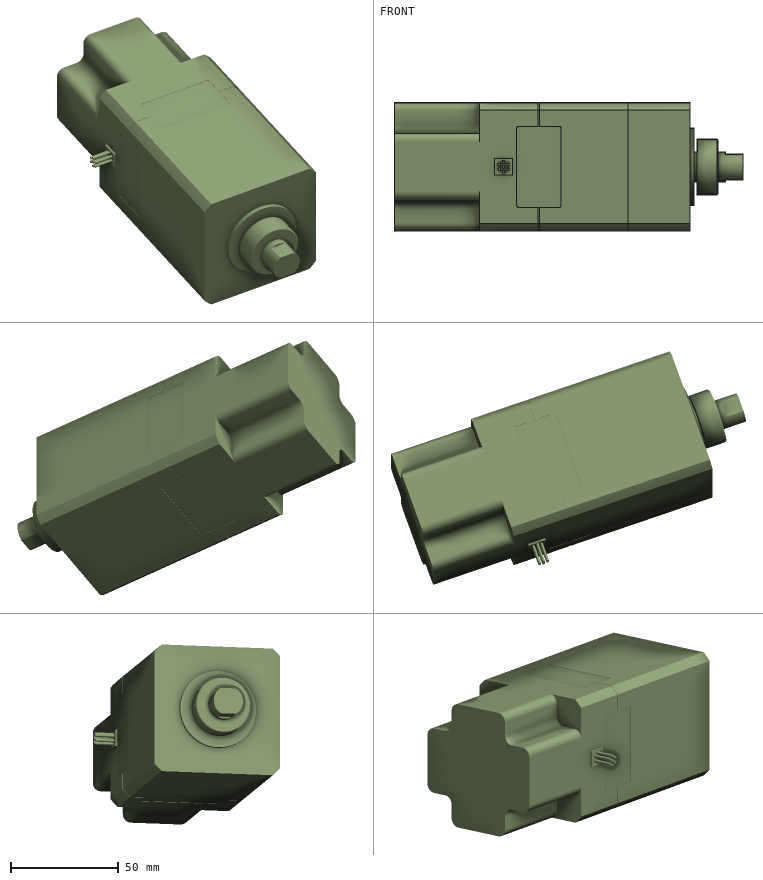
import cadquery as cq
import math

BODY_WIDTH = 60.0
CORNER_CIRCLE_DIAMETER = 80.0

NOTCHED_END = 39.6
MOTOR_END = 108.9
GEAR_CASE_END = 133.7
FLANGE_END = 137.8

NOTCH_SIZE = 14.3
NOTCH_RADIUS = 3.9

BAND_CENTRE = 67.3
BAND_WIDTH = 0.8
BAND_DEPTH = 0.2
PANEL_LENGTH = 20.6
PANEL_WIDTH = 37.7
PANEL_CORNER_RADIUS = 0.8

OUTLET_CENTRE = 50.9
OUTLET_LENGTH = 8.5
OUTLET_HEIGHT = 7.6
OUTLET_THICKNESS = 1.0
WIRE_REACH = 10.0
WIRE_DIAMETER = 1.3
WIRE_RING_RADIUS = 2.3
RING_WIRES = 6

PILOT_DIAMETER = 36.0
PILOT_LENGTH = 2.0

SHAFT_END = 162.5
SHAFT_DIAMETER = 14.0
FLAT_START = 154.2
ACROSS_FLATS = 12.0
COLLAR_DIAMETER = 26.0
COLLAR_START = 141.0
SHOULDER_LENGTH = 2.0
COLLAR_END = 150.8
COLLAR_CHAMFER = 0.5

HALF_WIDTH = BODY_WIDTH / 2
PILOT_FACE = FLANGE_END + PILOT_LENGTH
SHOULDER_END = COLLAR_START + SHOULDER_LENGTH


def section_plane(x):
    """Plane across the X axis at the given station."""
    return cq.Workplane("YZ", origin=(x, 0, 0))


def cylinder(diameter, start, end):
    return section_plane(start).circle(diameter / 2).extrude(end - start)


def trimmed_square(start, end, inset=0.0):
    """Square bar along X whose long edges are trimmed by a turned diameter."""
    width = BODY_WIDTH - 2 * inset
    bar = section_plane(start).rect(width, width).extrude(end - start)
    return bar.intersect(cylinder(CORNER_CIRCLE_DIAMETER - 2 * inset, start, end))


def notched_section():
    """Cross-shaped rear stretch with rounded inner and outer corners."""
    arm_width = BODY_WIDTH - 2 * NOTCH_SIZE
    upright = section_plane(0).rect(arm_width, BODY_WIDTH).extrude(NOTCHED_END)
    crossbar = section_plane(0).rect(BODY_WIDTH, arm_width).extrude(NOTCHED_END)
    return upright.union(crossbar).edges("|X").fillet(NOTCH_RADIUS)


def band_recess():
    """Material removed for the band: a thin ring and a panel centred on each side."""
    start = BAND_CENTRE - BAND_WIDTH / 2
    end = BAND_CENTRE + BAND_WIDTH / 2
    recess = trimmed_square(start, end).cut(trimmed_square(start, end, BAND_DEPTH))
    panel = (
        cq.Workplane("XY", origin=(BAND_CENTRE, 0, HALF_WIDTH - BAND_DEPTH))
        .rect(PANEL_LENGTH, PANEL_WIDTH)
        .extrude(BAND_DEPTH)
        .edges("|Z")
        .fillet(PANEL_CORNER_RADIUS)
    )
    for side in range(4):
        recess = recess.union(panel.rotate((0, 0, 0), (1, 0, 0), 90 * side))
    return recess


def cable_outlet():
    """Outlet plate with a bundle of wires: one in the middle and a ring around it."""
    side = cq.Workplane("XZ", origin=(OUTLET_CENTRE, -HALF_WIDTH, 0))
    plate = side.rect(OUTLET_LENGTH, OUTLET_HEIGHT).extrude(OUTLET_THICKNESS)
    centres = [(0, 0)]
    for index in range(RING_WIRES):
        angle = math.radians(90 + index * 360 / RING_WIRES)
        centres.append((WIRE_RING_RADIUS * math.cos(angle), WIRE_RING_RADIUS * math.sin(angle)))
    wires = side.pushPoints(centres).circle(WIRE_DIAMETER / 2).extrude(WIRE_REACH)
    return plate.union(wires)


def make_motor():
    motor = notched_section().union(trimmed_square(NOTCHED_END, MOTOR_END))
    return motor.cut(band_recess()).union(cable_outlet())


def output_shaft():
    """Round shaft with two opposite flats near its tip and a collar in two flush steps."""
    shaft = cylinder(SHAFT_DIAMETER, PILOT_FACE, SHAFT_END)
    flat_length = SHAFT_END - FLAT_START
    between_flats = section_plane(FLAT_START).rect(SHAFT_DIAMETER, ACROSS_FLATS).extrude(flat_length)
    flat_waste = cylinder(SHAFT_DIAMETER, FLAT_START, SHAFT_END).cut(between_flats)
    shoulder = cylinder(COLLAR_DIAMETER, COLLAR_START, SHOULDER_END)
    collar = cylinder(COLLAR_DIAMETER, SHOULDER_END, COLLAR_END).faces(">X").chamfer(COLLAR_CHAMFER)
    return shaft.cut(flat_waste).union(shoulder, clean=False).union(collar, clean=False)


def make_gearhead():
    gear_case = trimmed_square(MOTOR_END, GEAR_CASE_END)
    flange = trimmed_square(GEAR_CASE_END, FLANGE_END)
    pilot = cylinder(PILOT_DIAMETER, FLANGE_END, PILOT_FACE)
    gearhead = gear_case.union(flange, clean=False).union(pilot, clean=False)
    return gearhead.union(output_shaft(), clean=False)


motor = make_motor()
gearhead = make_gearhead()
result = cq.Compound.makeCompound([motor.val(), gearhead.val()])